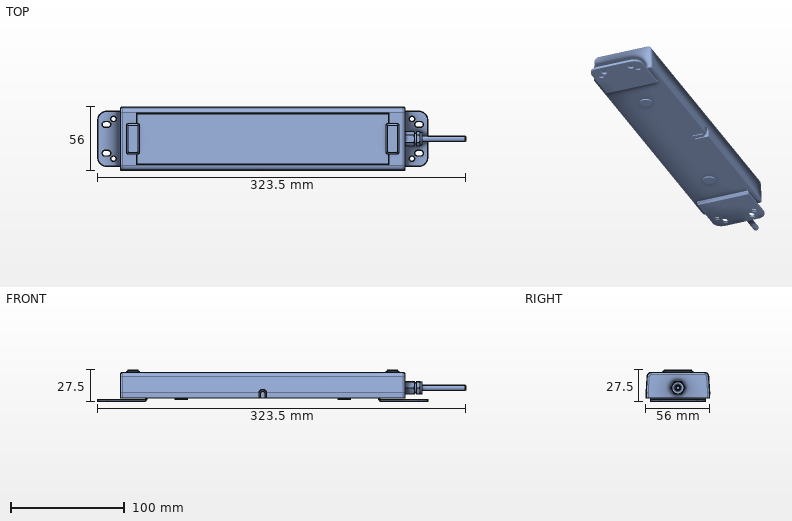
import cadquery as cq
import math

plate_thickness = 2.0
plate_length = 41.7
plate_width = 48.5
plate_corner_radius = 8.0
bracket_lip_length = 1.5
bracket_lip_top_length = 0.5
bracket_clearance = 1.0
plate_outer_x = 145.0
hole_diameter = 4.5
hole_x = 131.0
hole_y = 17.5
slot_length = 7.5
slot_width = 5.0
slot_x = 137.2
slot_y = 12.5

housing_length = 250.0
housing_width = 56.0
housing_bottom_width = 55.5
housing_top_width = 53.7
housing_bottom_z = plate_thickness + bracket_clearance
housing_top_z = 25.5
parting_z = 7.8
long_edge_radius = 4.0
end_edge_radius = 2.0

panel_length = 221.7
panel_width = 45.3
groove_width = 0.5
groove_depth = 0.5

notch_width = 6.8
notch_height = 7.8
notch_depth = 13.0
tab_width = 4.2
tab_height = 5.8
tab_setback = 3.2

foot_diameter = 11.3
foot_height = bracket_clearance
foot_x = 71.5

pad_height = 2.0
pad_length = 11.5
pad_width = 27.0
pad_bevel = 1.5
pad_corner_radius = 2.0
pad_x = 114.0

gland_start_x = housing_length / 2
gland_z = 12.0
gland_across_flats = 11.0
gland_corner_bevel = 0.5
body_length = 8.0
neck_length = 1.5
neck_diameter = 9.5
nut_length = 3.2
collar_length = 2.0
collar_diameter = 10.7
cable_diameter = 5.0
cable_end_x = 178.5
cable_end_bevel = 1.0


def make_housing():
    profile = [
        (-housing_bottom_width / 2, housing_bottom_z),
        (housing_bottom_width / 2, housing_bottom_z),
        (housing_width / 2, parting_z),
        (housing_top_width / 2, housing_top_z),
        (-housing_top_width / 2, housing_top_z),
        (-housing_width / 2, parting_z),
    ]
    housing = cq.Workplane("YZ").polyline(profile).close().extrude(housing_length / 2, both=True)
    housing = housing.edges("|X and >Z").fillet(long_edge_radius)
    housing = housing.faces("<X or >X").edges("not <Z").fillet(end_edge_radius)
    return housing.cut(panel_groove()).cut(tab_notch()).union(feet())


def panel_groove():
    groove = panel_block(0).cut(panel_block(groove_width))
    for side in (-1, 1):
        groove = groove.cut(pad_seat(side))
    return groove


def panel_block(inset):
    block = cq.Workplane("XY", origin=(0, 0, housing_top_z - groove_depth))
    return block.rect(panel_length - 2 * inset, panel_width - 2 * inset).extrude(groove_depth)


def pad_seat(side):
    return pad_outline(side).extrude(-groove_depth)


def pad_outline(side):
    return (
        cq.Workplane("XY", origin=(side * pad_x, 0, housing_top_z))
        .sketch()
        .rect(pad_length, pad_width)
        .vertices()
        .fillet(pad_corner_radius)
        .finalize()
    )


def arch(width, height, depth):
    radius = width / 2
    spring_z = housing_bottom_z + height - radius
    return (
        cq.Workplane("XZ", origin=(0, -housing_width / 2, 0))
        .moveTo(-radius, housing_bottom_z)
        .lineTo(radius, housing_bottom_z)
        .lineTo(radius, spring_z)
        .threePointArc((0, spring_z + radius), (-radius, spring_z))
        .close()
        .extrude(-depth)
    )


def tab_notch():
    tab = arch(tab_width, tab_height, notch_depth).translate((0, tab_setback, 0))
    return arch(notch_width, notch_height, notch_depth).cut(tab)


def feet():
    return (
        cq.Workplane("XY", origin=(0, 0, housing_bottom_z))
        .pushPoints([(-foot_x, 0), (foot_x, 0)])
        .circle(foot_diameter / 2)
        .extrude(-foot_height)
    )


def make_bracket(side):
    plate_x = plate_outer_x - plate_length / 2
    plate = (
        cq.Workplane("XY")
        .center(plate_x, 0)
        .rect(plate_length, plate_width)
        .extrude(plate_thickness)
        .edges("|Z and >X")
        .fillet(plate_corner_radius)
    )
    holes = (
        cq.Workplane("XY")
        .pushPoints([(hole_x, -hole_y), (hole_x, hole_y)])
        .circle(hole_diameter / 2)
        .extrude(plate_thickness)
    )
    slots = (
        cq.Workplane("XY")
        .pushPoints([(slot_x, -slot_y), (slot_x, slot_y)])
        .slot2D(slot_length, slot_width)
        .extrude(plate_thickness)
    )
    plate = plate.union(bracket_lip()).cut(holes).cut(slots)
    return plate if side > 0 else plate.mirror("YZ")


def bracket_lip():
    root_x = plate_outer_x - plate_length
    tip_x = root_x - bracket_lip_length
    profile = [
        (root_x, 0),
        (root_x, plate_thickness),
        (tip_x + bracket_lip_top_length, housing_bottom_z),
        (tip_x, housing_bottom_z),
        (tip_x, plate_thickness),
    ]
    return cq.Workplane("XZ").polyline(profile).close().extrude(plate_width / 2, both=True)


def make_pad(side):
    return pad_outline(side).extrude(pad_height).faces(">Z").chamfer(pad_bevel)


def round_section(start_x, diameter, length):
    return cq.Workplane("YZ", origin=(start_x, 0, gland_z)).circle(diameter / 2).extrude(length)


def hex_section(start_x, length):
    across_corners = gland_across_flats / math.cos(math.pi / 6)
    prism = cq.Workplane("YZ", origin=(start_x, 0, gland_z)).polygon(6, across_corners).extrude(length)
    turned = round_section(start_x, across_corners, length).faces(">X").chamfer(gland_corner_bevel)
    return prism.intersect(turned)


def make_gland():
    neck_x = gland_start_x + body_length
    nut_x = neck_x + neck_length
    collar = round_section(nut_x + nut_length, collar_diameter, collar_length)
    return (
        hex_section(gland_start_x, body_length)
        .union(round_section(neck_x, neck_diameter, neck_length))
        .union(hex_section(nut_x, nut_length))
        .union(collar)
    )


def make_cable():
    start_x = gland_start_x + body_length + neck_length + nut_length + collar_length
    cable = round_section(start_x, cable_diameter, cable_end_x - start_x)
    return cable.faces(">X").chamfer(cable_end_bevel)


housing = make_housing()
brackets = [make_bracket(side) for side in (-1, 1)]
pads = [make_pad(side) for side in (-1, 1)]
gland = make_gland()
cable = make_cable()

result = cq.Compound.makeCompound(
    [housing.val(), *[b.val() for b in brackets], *[p.val() for p in pads], gland.val(), cable.val()]
)